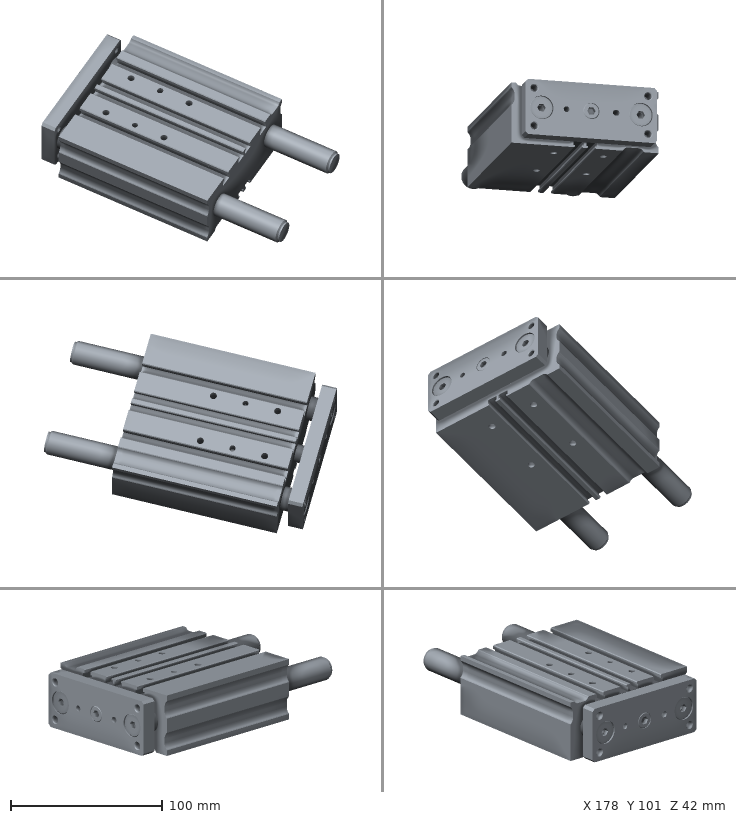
import cadquery as cq
import math


plate_length = 10.0
plate_width = 90.0
plate_height = 38.0
plate_corner_chamfer = 1.8

total_length = 178.0
housing_start = 16.2
housing_length = 112.7
housing_width = 101.0
housing_height = 42.0
half_width = housing_width / 2
half_height = housing_height / 2

rod_spacing = 68.0
rod_positions = (-rod_spacing / 2, rod_spacing / 2)
rod_radius = 8.0
rod_front_chamfer = 0.5
rod_recess = 0.7
rod_rear_chamfer = 1.0
rod_tip_length = 1.0
rod_drill_radius = 2.3
rod_drill_depth = 5.3
piston_radius = 6.0
piston_end = housing_start + housing_length / 2

socket_flats = 5.0
socket_depth = 3.0
screw_head_radius = 5.5
screw_head_chamfer = 0.5
screw_head_length = 6.0
screw_shank_radius = 3.0
screw_engagement = 10.0
screw_end = plate_length + screw_engagement

corner_hole_radius = 2.3
corner_hole_chamfer = 0.5
corner_hole_chamfer_angle = 45
corner_hole_spacing_y = 78.0
corner_hole_spacing_z = 26.0
pin_radius = 2.0
pin_slot_travel = 0.5
pin_spacing = 34.0

bolt_radius = 2.3
first_bolt_x = 33.3
bolt_pitch = 44.0
housing_pin_depth = 6.0

inner_slot_y = 4.5
inner_slot_mouth = 5.0
inner_slot_lip = 1.6
inner_slot_depth = 5.0
inner_slot_undercut = 1.0
outer_slot_y = 25.0
outer_slot_mouth = 5.7
outer_slot_lip = 2.7
outer_slot_depth = 7.0
outer_slot_undercut = 1.5
slot_edge_chamfer = 0.5

side_groove_z = 11.0
side_groove_width = 12.3
side_groove_floor = 3.4
side_groove_depth = 2.1
top_groove_y = 41.3
top_groove_width = 13.2
top_groove_floor = 5.7
bottom_groove_y = -33.1
bottom_groove_width = 15.1
bottom_groove_floor = 7.1
flat_groove_depth = 2.5
shoulder_drop = 0.5
groove_edge_width = 0.5
groove_edge_depth = 0.4


def cylinder_x(radius, start, end, y=0.0):
    """Round bar parallel to X between two X positions."""
    return cq.Workplane("YZ", origin=(start, y, 0)).circle(radius).extrude(end - start)


def hexagon_socket(start, depth, y=0.0):
    """Hexagonal recess along X with two corners pointing along Y."""
    across_corners = socket_flats / math.cos(math.pi / 6)
    return cq.Workplane("YZ", origin=(start, y, 0)).polygon(6, across_corners).extrude(depth)


def face_plane(outward, y, z):
    """Cross-section plane at the housing front whose local Y axis points out of a face."""
    outward = cq.Vector(*outward)
    along_face = outward.cross(cq.Vector(1, 0, 0))
    return cq.Plane(origin=(housing_start, y, z), xDir=along_face.toTuple(), normal=(1, 0, 0))


def t_slot(plane, mouth, lip, depth, undercut):
    """Full-length slot with chamfered mouth edges and undercut lips."""
    half_mouth = mouth / 2
    half_inside = half_mouth + undercut
    return (
        cq.Workplane(plane)
        .moveTo(0, -depth)
        .lineTo(half_inside, -depth)
        .lineTo(half_inside, -lip)
        .lineTo(half_mouth, -lip)
        .lineTo(half_mouth, -slot_edge_chamfer)
        .lineTo(half_mouth + slot_edge_chamfer, 0)
        .lineTo(0, 0)
        .mirrorY()
        .extrude(housing_length)
    )


def round_groove(plane, width, floor, depth):
    """Full-length shallow groove: flat floor with arcs rising to bevelled edges."""
    return (
        cq.Workplane(plane)
        .moveTo(0, -depth)
        .lineTo(floor / 2, -depth)
        .tangentArcPoint((width / 2 - groove_edge_width, -groove_edge_depth), relative=False)
        .lineTo(width / 2, 0)
        .lineTo(0, 0)
        .mirrorY()
        .extrude(housing_length)
    )


def pin_slot(workplane, angle):
    """Pin hole outline stretched slightly along the given direction."""
    return workplane.slot2D(2 * pin_radius + pin_slot_travel, 2 * pin_radius, angle)


def make_guide_rod(y):
    tip_start = total_length - rod_tip_length
    body = cylinder_x(rod_radius, rod_recess, tip_start, y)
    body = body.faces("<X").chamfer(rod_front_chamfer)
    body = body.faces(">X").chamfer(rod_rear_chamfer)
    tip = cylinder_x(rod_radius - rod_rear_chamfer, tip_start, total_length, y)
    socket_bottom = cq.Vector(rod_recess + socket_depth, y, 0)
    drill_point = cq.Solid.makeCone(
        rod_drill_radius, 0, rod_drill_depth, pnt=socket_bottom, dir=cq.Vector(1, 0, 0)
    )
    rod = body.union(tip).cut(hexagon_socket(rod_recess, socket_depth, y))
    return rod.cut(cq.Workplane(drill_point))


def make_screw():
    head = cylinder_x(screw_head_radius, 0, screw_head_length).faces("<X").chamfer(screw_head_chamfer)
    shank = cylinder_x(screw_shank_radius, screw_head_length, screw_end)
    return head.union(shank).cut(hexagon_socket(0, socket_depth))


def make_piston_rod():
    screw_hole = cylinder_x(screw_shank_radius, plate_length, screw_end)
    return cylinder_x(piston_radius, plate_length, piston_end).cut(screw_hole)


def make_plate():
    plate = (
        cq.Workplane("YZ")
        .rect(plate_width, plate_height)
        .extrude(plate_length)
        .edges("|X")
        .chamfer(plate_corner_chamfer)
    )
    for y in rod_positions:
        plate = plate.cut(cylinder_x(rod_radius, 0, plate_length, y))

    plate = plate.cut(cylinder_x(screw_head_radius, 0, screw_head_length))
    plate = plate.cut(cylinder_x(screw_shank_radius, screw_head_length, plate_length))

    corners = cq.Workplane("YZ").rect(corner_hole_spacing_y, corner_hole_spacing_z, forConstruction=True)
    plate = plate.cut(corners.vertices().circle(corner_hole_radius).extrude(plate_length))
    countersink_radius = corner_hole_radius + corner_hole_chamfer
    countersinks = corners.vertices().circle(countersink_radius)
    plate = plate.cut(countersinks.extrude(corner_hole_chamfer, taper=corner_hole_chamfer_angle))

    round_pin = cylinder_x(pin_radius, 0, plate_length, pin_spacing / 2)
    slotted_pin = pin_slot(cq.Workplane("YZ").center(-pin_spacing / 2, 0), 0).extrude(plate_length)
    return plate.cut(round_pin).cut(slotted_pin)


def make_housing():
    housing = cq.Workplane("YZ", origin=(housing_start, 0, 0)).rect(housing_width, housing_height)
    housing = housing.extrude(housing_length)
    up = (0, 0, 1)
    down = (0, 0, -1)
    plus_y = (0, 1, 0)
    minus_y = (0, -1, 0)

    for side in (-1, 1):
        for outward in (up, down):
            plane = face_plane(outward, side * inner_slot_y, outward[2] * half_height)
            housing = housing.cut(
                t_slot(plane, inner_slot_mouth, inner_slot_lip, inner_slot_depth, inner_slot_undercut)
            )
        plane = face_plane(up, side * outer_slot_y, half_height)
        housing = housing.cut(
            t_slot(plane, outer_slot_mouth, outer_slot_lip, outer_slot_depth, outer_slot_undercut)
        )

    for outward, z in ((minus_y, side_groove_z), (minus_y, -side_groove_z), (plus_y, side_groove_z)):
        plane = face_plane(outward, outward[1] * half_width, z)
        housing = housing.cut(round_groove(plane, side_groove_width, side_groove_floor, side_groove_depth))

    plane = face_plane(up, top_groove_y, half_height)
    housing = housing.cut(round_groove(plane, top_groove_width, top_groove_floor, flat_groove_depth))
    shoulder = cq.Workplane("XY").box(
        housing_length, half_width - top_groove_y, shoulder_drop, centered=False
    ).translate((housing_start, top_groove_y, half_height - shoulder_drop))
    housing = housing.cut(shoulder)
    plane = face_plane(down, bottom_groove_y, -half_height)
    housing = housing.cut(
        round_groove(plane, bottom_groove_width, bottom_groove_floor, flat_groove_depth)
    )

    housing_end = housing_start + housing_length
    for y in rod_positions:
        housing = housing.cut(cylinder_x(rod_radius, housing_start, housing_end, y))
    housing = housing.cut(cylinder_x(piston_radius, housing_start, piston_end))

    top = cq.Workplane("XY", origin=(first_bolt_x + bolt_pitch / 2, 0, half_height))
    bolt_holes = top.rect(bolt_pitch, pin_spacing, forConstruction=True).vertices()
    housing = housing.cut(bolt_holes.circle(bolt_radius).extrude(-housing_height))
    round_pin = top.center(0, -pin_spacing / 2).circle(pin_radius).extrude(-housing_pin_depth)
    slotted_pin = pin_slot(top.center(0, pin_spacing / 2), 90).extrude(-housing_pin_depth)
    return housing.cut(round_pin).cut(slotted_pin)


housing = make_housing()
plate = make_plate()
piston_rod = make_piston_rod()
screw = make_screw()
guide_rods = [make_guide_rod(y) for y in rod_positions]

result = cq.Compound.makeCompound(
    [housing.val(), plate.val(), piston_rod.val(), screw.val(), *[rod.val() for rod in guide_rods]]
)